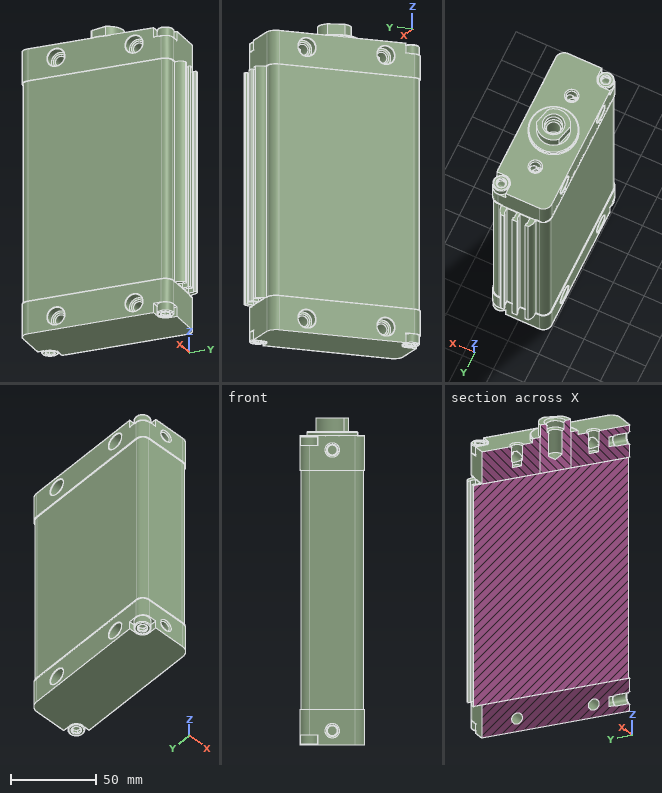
import cadquery as cq
import math

TOTAL_HEIGHT = 192.0
TOTAL_DEPTH = 102.0

CAP_WIDTH = 38.0
CAP_DEPTH = 96.4
CAP_CENTER_Y = -0.29
CAP_FRONT_Y = CAP_CENTER_Y - CAP_DEPTH / 2
CAP_BACK_Y = CAP_CENTER_Y + CAP_DEPTH / 2
TOP_CAP_HEIGHT = 20.4
BOTTOM_CAP_HEIGHT = 21.0
CAP_CORNER_RADIUS = 5.5
CAP_TOP = 181.6

BARREL_INSET = 0.5
BARREL_WIDTH = CAP_WIDTH - 2 * BARREL_INSET
BARREL_DEPTH = CAP_DEPTH - 2 * BARREL_INSET
BARREL_CORNER_RADIUS = CAP_CORNER_RADIUS - BARREL_INSET
BARREL_BOTTOM = BOTTOM_CAP_HEIGHT
BARREL_TOP = CAP_TOP - TOP_CAP_HEIGHT
BARREL_HEIGHT = BARREL_TOP - BARREL_BOTTOM

RAIL_TIP_Y = CAP_FRONT_Y + TOTAL_DEPTH
RAIL_FLOOR_RISE = 0.4
RAIL_FLOOR_Y = CAP_BACK_Y + RAIL_FLOOR_RISE
RAIL_ROOT_Y = CAP_BACK_Y - BARREL_INSET
RAIL_LIP_THICKNESS = 2.0
RAIL_LIP_CHAMFER = 0.5
HOOK_LIP_X = 7.0
HOOK_INNER_X = 7.5
HOOK_TOP_X = 8.8
HOOK_ROOT_X = 11.0
HOOK_BULGE_X = 10.4
HOOK_BULGE_DROP = 2.1
HOOK_BULGE_Y = RAIL_TIP_Y - HOOK_BULGE_DROP
RIB_STEM_X = 1.0
RIB_HEAD_X = 1.5

SCREW_INSET = 5.4
SCREW_X = CAP_WIDTH / 2 - SCREW_INSET
SCREW_Y = 42.8
SCREW_CORNERS = [(-SCREW_X, -SCREW_Y), (SCREW_X, SCREW_Y)]
SCREW_HEAD_DIAMETER = 10.0
SCREW_HEAD_HEIGHT = 5.8
SCREW_HEAD_CHAMFER = 0.5
SOCKET_SIDES = 6
SOCKET_ACROSS_FLATS = 5.0
SOCKET_RIM_DIAMETER = 6.1
SOCKET_RIM_DEPTH = 0.5
SOCKET_DEPTH = 2.7
RECESS_DIAMETER = 10.5
RECESS_RADIUS = RECESS_DIAMETER / 2
RECESS_DEPTH = 6.0

HOLE_SPACING = 50.0
HOLE_FROM_END = 8.5
HOLE_DIAMETER = 6.7
HOLE_RIM_DIAMETER = 8.5
THREAD_DEPTH = 9.6
CORE_HOLE_DIAMETER = 5.8
CORE_HOLE_DEPTH = 13.5
COUNTERBORE_RIM_DIAMETER = 11.5
COUNTERBORE_DIAMETER = 11.0
COUNTERBORE_DEPTH = 6.1

COLLAR_DIAMETER = 30.0
COLLAR_HEIGHT = 2.5
COLLAR_CHAMFER = 0.5

ROD_DIAMETER = 20.0
ROD_FLAT_DISTANCE = 17.0
ROD_FLAT_ANGLE = -15.0
ROD_BORE_RIM_DIAMETER = 13.2
ROD_BORE_DIAMETER = 10.5
ROD_BORE_DEPTH = 5.4
ROD_PILOT_DIAMETER = 8.5
ROD_PILOT_DEPTH = 21.1

DRILL_POINT_ANGLE = 118.0
COLLAR_TOP = CAP_TOP + COLLAR_HEIGHT


def drill_point_height(diameter):
    """Height of the cone that a drill leaves at the end of a hole."""
    return diameter / 2 / math.tan(math.radians(DRILL_POINT_ANGLE / 2))


def rounded_bar(width, depth, radius, bottom, height):
    """Upright bar with rounded vertical edges, centred on the housing."""
    bar = cq.Workplane("XY", origin=(0, CAP_CENTER_Y, bottom)).rect(width, depth).extrude(height)
    return bar.edges("|Z").fillet(radius)


def revolved_cutter(profile, origin, axis_into_part):
    """Solid of revolution from (radius, depth) points; depth runs along axis_into_part."""
    x_direction = (0, 0, 1) if axis_into_part[2] == 0 else (1, 0, 0)
    normal = cq.Vector(*x_direction).cross(cq.Vector(*axis_into_part))
    plane = cq.Plane(origin=origin, xDir=x_direction, normal=normal.toTuple())
    return cq.Workplane(plane).polyline(profile).close().revolve(360, (0, 0), (0, 1))


def threaded_hole(origin, axis_into_part):
    """Flat-bottomed blind hole with a 45 degree countersunk rim and a narrower inner end."""
    radius = HOLE_DIAMETER / 2
    rim_radius = HOLE_RIM_DIAMETER / 2
    core_radius = CORE_HOLE_DIAMETER / 2
    profile = [
        (0, 0),
        (rim_radius, 0),
        (radius, rim_radius - radius),
        (radius, THREAD_DEPTH),
        (core_radius, THREAD_DEPTH),
        (core_radius, CORE_HOLE_DEPTH),
        (0, CORE_HOLE_DEPTH),
    ]
    return revolved_cutter(profile, origin, axis_into_part)


def mounting_hole(y, z):
    """Through hole along X, with a chamfered counterbore and a chamfered counterbore floor at each side."""
    half_width = CAP_WIDTH / 2
    floor = half_width - COUNTERBORE_DEPTH
    radius = HOLE_DIAMETER / 2
    rim_radius = HOLE_RIM_DIAMETER / 2
    chamfer_end = floor - (rim_radius - radius)
    counterbore_radius = COUNTERBORE_DIAMETER / 2
    counterbore_rim_radius = COUNTERBORE_RIM_DIAMETER / 2
    rim_end = half_width - (counterbore_rim_radius - counterbore_radius)
    profile = [
        (0, -half_width),
        (counterbore_rim_radius, -half_width),
        (counterbore_radius, -rim_end),
        (counterbore_radius, -floor),
        (rim_radius, -floor),
        (radius, -chamfer_end),
        (radius, chamfer_end),
        (rim_radius, floor),
        (counterbore_radius, floor),
        (counterbore_radius, rim_end),
        (counterbore_rim_radius, half_width),
        (0, half_width),
    ]
    return revolved_cutter(profile, (0, y, z), (1, 0, 0))


def screw_recess(x, y, bottom):
    """Corner pocket that leaves a rounded wall around a screw head."""
    pocket = cq.Workplane("XY", origin=(x, y, bottom)).circle(RECESS_RADIUS).extrude(RECESS_DEPTH)
    toward_x = math.copysign(RECESS_RADIUS, x)
    toward_y = math.copysign(RECESS_RADIUS, y)
    for shift_x, shift_y in [(toward_x, 0), (0, toward_y)]:
        origin = (x + shift_x, y + shift_y, bottom)
        square = cq.Workplane("XY", origin=origin).rect(RECESS_DIAMETER, RECESS_DIAMETER)
        pocket = pocket.union(square.extrude(RECESS_DEPTH))
    return pocket


def screw_head(x, y, bottom):
    """Chamfered screw head facing up, with a countersunk hexagon socket and a conical socket floor."""
    top = bottom + SCREW_HEAD_HEIGHT
    head = (
        cq.Workplane("XY", origin=(x, y, bottom))
        .circle(SCREW_HEAD_DIAMETER / 2)
        .extrude(SCREW_HEAD_HEIGHT)
        .faces(">Z")
        .edges()
        .chamfer(SCREW_HEAD_CHAMFER)
    )
    corner_diameter = SOCKET_ACROSS_FLATS / math.cos(math.pi / SOCKET_SIDES)
    floor = top - SOCKET_DEPTH
    hexagon = (
        cq.Workplane("XY", origin=(x, y, floor))
        .transformed(rotate=(0, 0, 180 / SOCKET_SIDES))
        .polygon(SOCKET_SIDES, corner_diameter)
        .extrude(SOCKET_DEPTH)
    )
    flat_radius = SOCKET_ACROSS_FLATS / 2
    bored_profile = [
        (0, 0),
        (SOCKET_RIM_DIAMETER / 2, 0),
        (flat_radius, SOCKET_RIM_DEPTH),
        (flat_radius, SOCKET_DEPTH),
        (0, SOCKET_DEPTH + drill_point_height(SOCKET_ACROSS_FLATS)),
    ]
    return head.cut(hexagon).cut(revolved_cutter(bored_profile, (x, y, top), (0, 0, -1)))


def plain_cap(height):
    """End cap with its outer face up at CAP_TOP: screws, front port and mounting holes."""
    cap = rounded_bar(CAP_WIDTH, CAP_DEPTH, CAP_CORNER_RADIUS, CAP_TOP - height, height)
    hole_z = CAP_TOP - HOLE_FROM_END
    cap = cap.cut(threaded_hole((0, CAP_FRONT_Y, hole_z), (0, 1, 0)))
    for y in (-HOLE_SPACING / 2, HOLE_SPACING / 2):
        cap = cap.cut(mounting_hole(y, hole_z))
    recess_floor = CAP_TOP - RECESS_DEPTH
    for x, y in SCREW_CORNERS:
        cap = cap.cut(screw_recess(x, y, recess_floor))
        cap = cap.union(screw_head(x, y, recess_floor))
    return cap


def make_top_cap():
    """Cap with a collar around the rod and two threaded holes in its top."""
    collar = (
        cq.Workplane("XY", origin=(0, 0, CAP_TOP))
        .circle(COLLAR_DIAMETER / 2)
        .extrude(COLLAR_HEIGHT)
        .faces(">Z")
        .edges()
        .chamfer(COLLAR_CHAMFER)
    )
    rod_hole = (
        cq.Workplane("XY", origin=(0, 0, BARREL_TOP))
        .circle(ROD_DIAMETER / 2)
        .extrude(TOP_CAP_HEIGHT + COLLAR_HEIGHT)
    )
    cap = plain_cap(TOP_CAP_HEIGHT).union(collar).cut(rod_hole)
    for y in (-HOLE_SPACING / 2, HOLE_SPACING / 2):
        cap = cap.cut(threaded_hole((0, y, CAP_TOP), (0, 0, -1)))
    return cap


def make_bottom_cap():
    """Plain cap mirrored about the mid height of the cylinder, with its outer face down at Z = 0."""
    mid_height = CAP_TOP / 2
    return plain_cap(BOTTOM_CAP_HEIGHT).mirror("XY", (0, 0, mid_height))


def rail_hook(side):
    """Outer hook of the sensor rail; side is -1 or 1."""
    lip_y = RAIL_TIP_Y - RAIL_LIP_THICKNESS
    return (
        cq.Workplane("XY", origin=(0, 0, BARREL_BOTTOM))
        .moveTo(side * HOOK_INNER_X, RAIL_ROOT_Y)
        .lineTo(side * HOOK_INNER_X, lip_y)
        .lineTo(side * HOOK_LIP_X, lip_y + RAIL_LIP_CHAMFER)
        .lineTo(side * HOOK_LIP_X, RAIL_TIP_Y)
        .lineTo(side * HOOK_TOP_X, RAIL_TIP_Y)
        .threePointArc((side * HOOK_BULGE_X, HOOK_BULGE_Y), (side * HOOK_ROOT_X, RAIL_ROOT_Y))
        .close()
        .extrude(BARREL_HEIGHT)
    )


def rail_rib():
    """T-shaped middle rib of the sensor rail."""
    lip_y = RAIL_TIP_Y - RAIL_LIP_THICKNESS
    half_outline = [
        (RIB_STEM_X, RAIL_ROOT_Y),
        (RIB_STEM_X, lip_y),
        (RIB_HEAD_X, lip_y + RAIL_LIP_CHAMFER),
        (RIB_HEAD_X, RAIL_TIP_Y),
    ]
    outline = half_outline + [(-x, y) for x, y in reversed(half_outline)]
    return cq.Workplane("XY", origin=(0, 0, BARREL_BOTTOM)).polyline(outline).close().extrude(BARREL_HEIGHT)


def make_barrel():
    """Barrel with the sensor rail along its +Y face."""
    barrel = rounded_bar(BARREL_WIDTH, BARREL_DEPTH, BARREL_CORNER_RADIUS, BARREL_BOTTOM, BARREL_HEIGHT)
    floor_thickness = RAIL_FLOOR_Y - RAIL_ROOT_Y
    rail_floor = (
        cq.Workplane("XY", origin=(0, RAIL_ROOT_Y + floor_thickness / 2, BARREL_BOTTOM))
        .rect(2 * HOOK_ROOT_X, floor_thickness)
        .extrude(BARREL_HEIGHT)
    )
    barrel = barrel.union(rail_floor).union(rail_rib())
    for side in (-1, 1):
        barrel = barrel.union(rail_hook(side))
    return barrel


def make_piston_rod():
    """Round rod with two wrench flats above the collar and a stepped bore in its end."""
    rod = (
        cq.Workplane("XY", origin=(0, 0, BARREL_TOP))
        .circle(ROD_DIAMETER / 2)
        .extrude(TOTAL_HEIGHT - BARREL_TOP)
    )
    flat_height = TOTAL_HEIGHT - COLLAR_TOP
    wrench_section = (
        cq.Workplane("XY", origin=(0, 0, COLLAR_TOP))
        .rect(ROD_FLAT_DISTANCE, ROD_DIAMETER)
        .extrude(flat_height)
        .rotate((0, 0, 0), (0, 0, 1), ROD_FLAT_ANGLE)
    )
    rod_end = cq.Workplane("XY", origin=(0, 0, COLLAR_TOP)).circle(ROD_DIAMETER / 2).extrude(flat_height)
    rod = rod.cut(rod_end.cut(wrench_section))

    rim_radius = ROD_BORE_RIM_DIAMETER / 2
    bore_radius = ROD_BORE_DIAMETER / 2
    pilot_radius = ROD_PILOT_DIAMETER / 2
    bore_profile = [
        (0, 0),
        (rim_radius, 0),
        (bore_radius, rim_radius - bore_radius),
        (bore_radius, ROD_BORE_DEPTH),
        (pilot_radius, ROD_BORE_DEPTH + bore_radius - pilot_radius),
        (pilot_radius, ROD_PILOT_DEPTH),
        (0, ROD_PILOT_DEPTH + drill_point_height(ROD_PILOT_DIAMETER)),
    ]
    return rod.cut(revolved_cutter(bore_profile, (0, 0, TOTAL_HEIGHT), (0, 0, -1)))


barrel = make_barrel()
top_cap = make_top_cap()
bottom_cap = make_bottom_cap()
piston_rod = make_piston_rod()

result = cq.Compound.makeCompound([barrel.val(), top_cap.val(), bottom_cap.val(), piston_rod.val()])